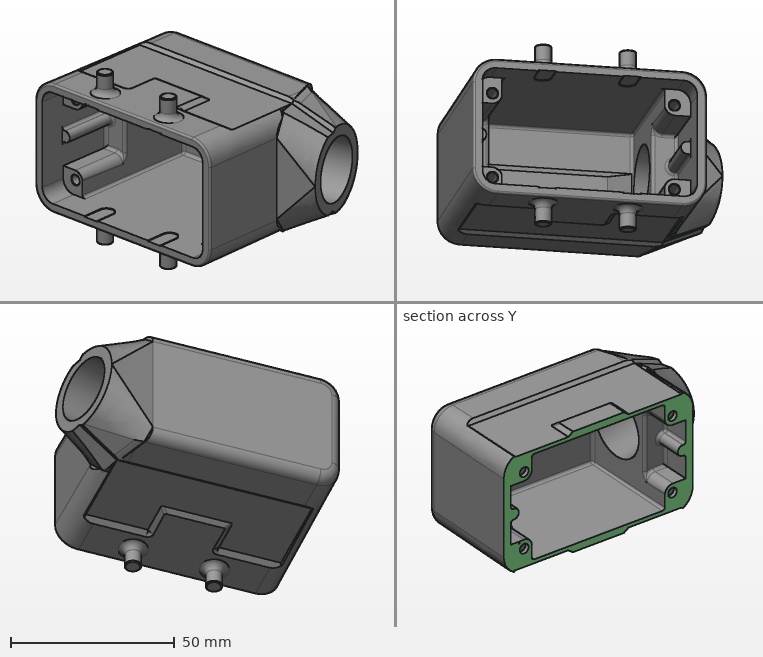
import cadquery as cq
import math

LENGTH_X, LENGTH_Y, LENGTH_Z = 85.2, 61.3, 57.0

MOUTH_X, MOUTH_Z = 72.9, 42.9
SHELL_DEPTH = 57.1
CORNER_R = 7.7
DRAFT = 0.55
BACK_R = 3.6
MOUTH_LIP_R = 0.7

SPOUT_TILT = 16.0
SPOUT_R = 28.5 / 2
BORE_R = 10.65
BORE_DEPTH = 25.55
SPOUT_END_X = LENGTH_X - MOUTH_X / 2 - SPOUT_R * math.sin(math.radians(SPOUT_TILT))
SPOUT_END_Y = LENGTH_Y - SPOUT_R * math.cos(math.radians(SPOUT_TILT))
BASE_TOP_X, BASE_TOP_Y = 25.8, SHELL_DEPTH
BASE_LOW_X, BASE_LOW_Y = 36.1, 30.2
BASE_LOW_Z = 13.5
BASE_SIDE_HIGH_Y, BASE_SIDE_LOW_Y = 53.15, 36.6
SPOUT_ROOT_LENGTH = 6.8
SPOUT_SHOULDER_R = 11.1

PANEL_Z = 20.0
PANEL_HALF_X = 31.8
PANEL_LOW_Y, PANEL_HIGH_Y = 14.9, 41.65
TONGUE_HALF_X, TONGUE_Y = 11.6, 26.75
PANEL_WALL_ANGLE = 55.0
TONGUE_CORNER_R = 1.3
PANEL_CUT = 2.55
SPOUT_PANEL_SLOPE = 26.0
SPOUT_PANEL_LENGTH = 34.1
SPOUT_PANEL_WIDTH = 25.55

PEG_X, PEG_Y = 13.2, 6.3
PEG_R = 2.55
PEG_TIP_Z = LENGTH_Z / 2
PEG_TIP_CHAMFER = 0.3
PEG_ROOT_Z = 20.4
PEG_COLLAR_Z = 23.7
PEG_FLARE_R, PEG_FLARE_Z = 4.7, 21.4
PEG_FLARE_ARC_R = 2.55

CAVITY_X, CAVITY_Z = 66.95, 37.1
CAVITY_R = 4.3
STEP_Y = 28.1
CAVITY_DRAFT = 0.3
LEDGE_R = 1.0
WELL_X = 50.9
WELL_END_Y = 54.1
WELL_R = 1.0

RIDGE_ROOT_HALF, RIDGE_TOP_HALF = 5.45, 3.2
RIDGE_HEIGHT = RIDGE_ROOT_HALF - RIDGE_TOP_HALF
RAMP_START_X = 16.6

BOSS_FACE_Y = 9.3
BOSS_INNER_X, BOSS_INNER_Z = 25.3, 10.2
BOSS_CORNER_R = 3.2
HOLE_X, HOLE_Z = 28.4, 13.45
HOLE_R = 1.6
HOLE_CHAMFER = 0.2
HOLE_DEPTH = 10.2
RIB_R = 2.0
RIB_TIP_X = 30.3
RIB_ROOT_R = 0.9
RIB_FACE_Y = 8.9

GROOVE_R = 2.6
GROOVE_END_Y = 6.9
GROOVE_DEPTH = 0.25

SIGNS = (-1, 1)


def across(y):
    """Workplane at depth y that extrudes toward +Y; its local y axis is -Z."""
    return cq.Workplane(cq.Plane(origin=(0, y, 0), xDir=(1, 0, 0), normal=(0, 1, 0)))


def nearest(x, y, z):
    return cq.selectors.NearestToPointSelector((x, y, z))


def rounded_block(size_x, size_z, radius, start_y, end_y, taper=0):
    outline = cq.Sketch().rect(size_x, size_z).vertices().fillet(radius)
    return across(start_y).placeSketch(outline).extrude(end_y - start_y, taper=taper)


def base_x(y):
    """X of the inclined spout base plane at height y."""
    t = (y - BASE_LOW_Y) / (BASE_TOP_Y - BASE_LOW_Y)
    return BASE_LOW_X + t * (BASE_TOP_X - BASE_LOW_X)


def wall_z(y):
    """Half height of the drafted shell at depth y."""
    return MOUTH_Z / 2 - y * math.tan(math.radians(DRAFT))


def outer_shell():
    shell = rounded_block(MOUTH_X, MOUTH_Z, CORNER_R, 0, SHELL_DEPTH, DRAFT)
    shell = shell.faces(">Y").edges().fillet(BACK_R)
    shell = shell.faces("<Y").edges().fillet(MOUTH_LIP_R)
    corner = (
        cq.Workplane("XY")
        .polyline([
            (BASE_LOW_X, BASE_LOW_Y),
            (BASE_TOP_X, BASE_TOP_Y),
            (MOUTH_X, BASE_TOP_Y),
            (MOUTH_X, BASE_LOW_Y),
        ])
        .close()
        .extrude(MOUTH_Z, both=True)
    )
    return shell.cut(corner)


def spout():
    """Eight-sided base blended to a round end by flat triangles and ruled corners."""
    half = [
        (BASE_TOP_Y, wall_z(BASE_TOP_Y) - BACK_R),
        (BASE_SIDE_HIGH_Y, wall_z(BASE_SIDE_HIGH_Y)),
        (BASE_SIDE_LOW_Y, wall_z(BASE_SIDE_LOW_Y)),
        (BASE_LOW_Y, BASE_LOW_Z),
    ]
    outline = half + [(y, -z) for y, z in reversed(half)]
    base = [cq.Vector(base_x(y), y, z) for y, z in outline]
    tilt = math.radians(SPOUT_TILT)

    def rim(degrees):
        """Point on the round end, measured from its highest point."""
        a = math.radians(degrees)
        up = SPOUT_R * math.cos(a)
        return cq.Vector(
            SPOUT_END_X - up * math.sin(tilt),
            SPOUT_END_Y + up * math.cos(tilt),
            SPOUT_R * math.sin(a),
        )

    faces = [cq.Face.makeFromWires(cq.Wire.makePolygon(base, close=True))]
    arcs = []
    for quarter in range(4):
        first, second = base[2 * quarter], base[2 * quarter + 1]
        following = base[(2 * quarter + 2) % len(base)]
        start = 90 * quarter
        arc = cq.Edge.makeThreePointArc(rim(start), rim(start + 45), rim(start + 90))
        arcs.append(arc)
        faces.append(cq.Face.makeRuledSurface(cq.Edge.makeLine(first, second), arc))
        triangle = cq.Wire.makePolygon([second, following, rim(start + 90)], close=True)
        faces.append(cq.Face.makeFromWires(triangle))
    faces.append(cq.Face.makeFromWires(cq.Wire.assembleEdges(arcs)))
    solid = cq.Solid.makeSolid(cq.Shell.makeShell(faces))
    root = cq.Solid.extrudeLinear(faces[0], cq.Vector(-SPOUT_ROOT_LENGTH, 0, 0))
    blend = cq.Workplane(solid.fix()).union(cq.Workplane(root))
    side_y = (BASE_SIDE_HIGH_Y + BASE_SIDE_LOW_Y) / 2
    for z_sign in SIGNS:
        shoulder = nearest(base_x(side_y), side_y, z_sign * wall_z(side_y))
        blend = blend.edges(shoulder).fillet(SPOUT_SHOULDER_R)
    return blend


def panel_cutters():
    """Recess cutters for the +Z face: the flat panel, then its run along the spout."""
    outline = [
        (-PANEL_HALF_X, PANEL_LOW_Y),
        (-TONGUE_HALF_X, PANEL_LOW_Y),
        (-TONGUE_HALF_X, TONGUE_Y),
        (TONGUE_HALF_X, TONGUE_Y),
        (TONGUE_HALF_X, PANEL_LOW_Y),
        (PANEL_HALF_X, PANEL_LOW_Y),
        (PANEL_HALF_X, PANEL_HIGH_Y),
        (-PANEL_HALF_X, PANEL_HIGH_Y),
    ]
    flat = (
        cq.Workplane("XY", origin=(0, 0, PANEL_Z))
        .polyline(outline)
        .close()
        .extrude(PANEL_CUT, taper=-PANEL_WALL_ANGLE)
    )
    inset = PANEL_CUT * math.tan(math.radians(PANEL_WALL_ANGLE)) / 2
    for x_sign in SIGNS:
        corner = nearest(x_sign * (TONGUE_HALF_X - inset), TONGUE_Y - inset, PANEL_Z + PANEL_CUT / 2)
        flat = flat.edges(corner).fillet(TONGUE_CORNER_R)
    tilt, slope = math.radians(SPOUT_TILT), math.radians(SPOUT_PANEL_SLOPE)
    plane = cq.Plane(
        origin=(base_x(PANEL_HIGH_Y), PANEL_HIGH_Y, PANEL_Z),
        xDir=(math.cos(tilt) * math.cos(slope), math.sin(tilt) * math.cos(slope), -math.sin(slope)),
        normal=(math.cos(tilt) * math.sin(slope), math.sin(tilt) * math.sin(slope), math.cos(slope)),
    )
    sloped = (
        cq.Workplane(plane)
        .rect(SPOUT_PANEL_LENGTH, -SPOUT_PANEL_WIDTH, centered=False)
        .extrude(PANEL_CUT, taper=-PANEL_WALL_ANGLE)
    )
    return flat, sloped


def peg(x):
    """Turned peg pointing toward +Z, flared where it meets the face."""
    profile = (
        cq.Workplane("XZ", origin=(x, PEG_Y, 0))
        .moveTo(0, PEG_ROOT_Z)
        .lineTo(PEG_FLARE_R, PEG_ROOT_Z)
        .lineTo(PEG_FLARE_R, PEG_FLARE_Z)
        .radiusArc((PEG_R, PEG_COLLAR_Z), PEG_FLARE_ARC_R)
        .lineTo(PEG_R, PEG_TIP_Z)
        .lineTo(0, PEG_TIP_Z)
        .close()
    )
    turned = profile.revolve(360, (0, 0, 0), (0, 1, 0))
    return turned.faces(">Z").edges().chamfer(PEG_TIP_CHAMFER)


def corner_boss(x_sign, z_sign):
    """Boss filling one corner of the mouth cavity."""
    size_x = MOUTH_X / 2 - BOSS_INNER_X
    size_z = MOUTH_Z / 2 - BOSS_INNER_Z
    x = x_sign * (BOSS_INNER_X + size_x / 2)
    z = z_sign * (BOSS_INNER_Z + size_z / 2)
    return (
        across(BOSS_FACE_Y)
        .center(x, -z)
        .rect(size_x, size_z)
        .extrude(STEP_Y - BOSS_FACE_Y)
        .edges(nearest(x_sign * BOSS_INNER_X, (BOSS_FACE_Y + STEP_Y) / 2, z_sign * BOSS_INNER_Z))
        .fillet(BOSS_CORNER_R)
    )


def end_rib(x_sign):
    """Round-nosed rib on an end wall."""
    nose_x = RIB_TIP_X + RIB_R
    length = STEP_Y - RIB_FACE_Y
    nose = across(RIB_FACE_Y).center(x_sign * nose_x, 0).circle(RIB_R).extrude(length)
    web_middle = (nose_x + MOUTH_X / 2) / 2
    web_x = MOUTH_X / 2 - nose_x
    web = across(RIB_FACE_Y).center(x_sign * web_middle, 0).rect(web_x, 2 * RIB_R).extrude(length)
    return nose.union(web)


def ceiling_ridge():
    """Trapezoid ridge along X whose +X end slopes down to the ceiling."""
    top_y = WELL_END_Y - RIDGE_HEIGHT
    ridge = (
        cq.Workplane("YZ", origin=(-WELL_X / 2, 0, 0))
        .polyline([
            (WELL_END_Y, -RIDGE_ROOT_HALF),
            (top_y, -RIDGE_TOP_HALF),
            (top_y, RIDGE_TOP_HALF),
            (WELL_END_Y, RIDGE_ROOT_HALF),
        ])
        .close()
        .extrude(WELL_X)
    )
    ramp = (
        cq.Workplane("XY")
        .polyline([(RAMP_START_X, top_y), (WELL_X / 2, top_y), (WELL_X / 2, WELL_END_Y)])
        .close()
        .extrude(RIDGE_ROOT_HALF, both=True)
    )
    return ridge.cut(ramp)


def cavity():
    """Everything removed from the inside, leaving bosses, ribs and ridge standing."""
    mouth = rounded_block(CAVITY_X, CAVITY_Z, CAVITY_R, 0, STEP_Y, CAVITY_DRAFT)
    for x_sign in SIGNS:
        for z_sign in SIGNS:
            mouth = mouth.cut(corner_boss(x_sign, z_sign))
            root = nearest(x_sign * BOSS_INNER_X, (BOSS_FACE_Y + STEP_Y) / 2, z_sign * CAVITY_Z / 2)
            mouth = mouth.edges(root).fillet(WELL_R)
    mouth = mouth.faces(">Y").edges().fillet(LEDGE_R)
    well = rounded_block(WELL_X, CAVITY_Z, WELL_R, 0, WELL_END_Y, CAVITY_DRAFT)
    well = well.faces(">Y").edges().fillet(WELL_R)
    inside = mouth.union(well)
    for x_sign in SIGNS:
        ledge_edge = nearest(x_sign * BOSS_INNER_X, STEP_Y, 0)
        inside = inside.edges(ledge_edge).fillet(LEDGE_R)
        inside = inside.cut(end_rib(x_sign))
        rib_root = nearest(x_sign * RIB_TIP_X, STEP_Y, 0)
        inside = inside.edges(rib_root).fillet(RIB_ROOT_R)
    return inside.cut(ceiling_ridge())


def spout_bore():
    """Cable passage from the spout end into the cavity."""
    tilt = math.radians(SPOUT_TILT)
    plane = cq.Plane(
        origin=(SPOUT_END_X, SPOUT_END_Y, 0),
        xDir=(0, 0, 1),
        normal=(-math.cos(tilt), -math.sin(tilt), 0),
    )
    return cq.Workplane(plane).circle(BORE_R).extrude(BORE_DEPTH)


def screw_holes():
    """Blind holes with a small countersink, one in each boss."""
    spots = [(x * HOLE_X, z * HOLE_Z) for x in SIGNS for z in SIGNS]
    sinks = (
        across(BOSS_FACE_Y)
        .pushPoints(spots)
        .circle(HOLE_R + HOLE_CHAMFER)
        .extrude(HOLE_CHAMFER, taper=45)
    )
    return across(BOSS_FACE_Y).pushPoints(spots).circle(HOLE_R).extrude(HOLE_DEPTH).union(sinks)


def peg_grooves():
    """Round-ended shallow grooves running in from the mouth at each peg."""
    height = CAVITY_Z + 2 * GROOVE_DEPTH
    grooves = cq.Workplane("XY")
    for x_sign in SIGNS:
        groove = (
            cq.Workplane("XY", origin=(x_sign * PEG_X, 0, -height / 2))
            .moveTo(-GROOVE_R, 0)
            .lineTo(GROOVE_R, 0)
            .lineTo(GROOVE_R, GROOVE_END_Y)
            .threePointArc((0, GROOVE_END_Y + GROOVE_R), (-GROOVE_R, GROOVE_END_Y))
            .close()
            .extrude(height)
        )
        grooves = grooves.union(groove)
    return grooves


hood = outer_shell().union(spout())
for cutter in panel_cutters():
    hood = hood.cut(cutter).cut(cutter.mirror("XY"))
for x_sign in SIGNS:
    upper_peg = peg(x_sign * PEG_X)
    hood = hood.union(upper_peg).union(upper_peg.mirror("XY"))
result = hood.cut(cavity()).cut(screw_holes()).cut(peg_grooves()).cut(spout_bore())